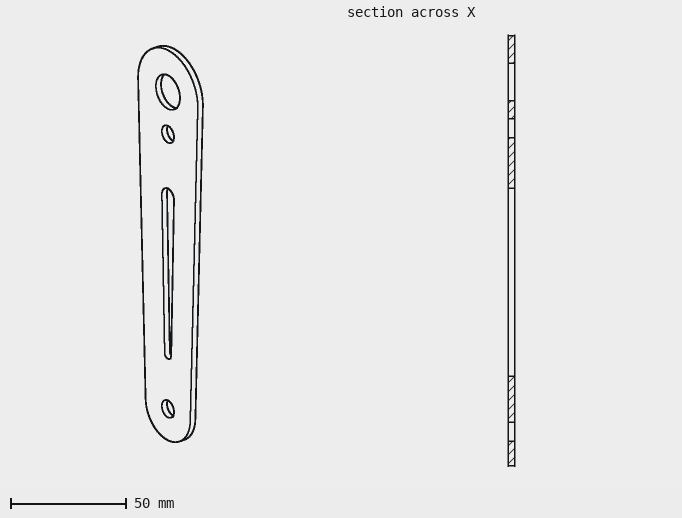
import cadquery as cq

length = 186.0
thickness = 3.0
top_width = 40.0
bottom_width = 30.0

pivot_diameter = 16.0
small_diameter = 8.0
small_hole_drop = 20.0

slot_top_width = 8.0
slot_bottom_width = 4.3
slot_top_drop = 50.0
slot_bottom_drop = 125.0

pivot_z = length / 2 - top_width / 2
bottom_z = -length / 2 + bottom_width / 2


def tapered_slab(upper_z, upper_width, lower_z, lower_width):
    """Slab with straight tapering sides and a semicircle at each end."""
    upper_radius = upper_width / 2
    lower_radius = lower_width / 2
    return (
        cq.Workplane("XZ")
        .moveTo(-upper_radius, upper_z)
        .threePointArc((0, upper_z + upper_radius), (upper_radius, upper_z))
        .lineTo(lower_radius, lower_z)
        .threePointArc((0, lower_z - lower_radius), (-lower_radius, lower_z))
        .close()
        .extrude(thickness / 2, both=True)
    )


def round_hole(z, diameter):
    """Cutter for a hole through the plate on its centre line."""
    return cq.Workplane("XZ").center(0, z).circle(diameter / 2).extrude(thickness, both=True)


plate = tapered_slab(pivot_z, top_width, bottom_z, bottom_width)
slot = tapered_slab(
    pivot_z - slot_top_drop, slot_top_width,
    pivot_z - slot_bottom_drop, slot_bottom_width,
)

result = plate.cut(slot).cut(round_hole(pivot_z, pivot_diameter))
for hole_z in (pivot_z - small_hole_drop, bottom_z):
    result = result.cut(round_hole(hole_z, small_diameter))